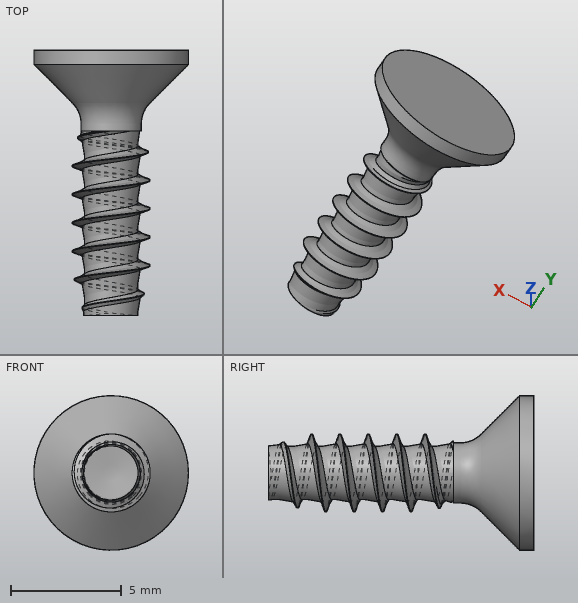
import cadquery as cq
import math

LENGTH = 12.0
HEAD_RADIUS = 7.0 / 2
RIM_HEIGHT = 0.65
NECK_RADIUS = 1.37
NECK_FILLET = 1.31
NECK_END = 3.65
RUNOUT_END = 4.14
CONE_END_RADIUS = NECK_RADIUS + NECK_FILLET * (1 - math.cos(math.pi / 4))
CONE_END = RIM_HEIGHT + HEAD_RADIUS - CONE_END_RADIUS
FILLET_END = CONE_END + NECK_FILLET * math.sin(math.pi / 4)

DISH_RADIUS = 1.15
DISH_DEPTH = 0.12

PITCH = 1.28
CORE_RADIUS = 1.21
CREST_RADIUS = 1.76
FOOT_RADIUS = 1.32
SHOULDER_RADIUS = 1.48
END_FOOT_RADIUS = 1.218
END_CREST_RADIUS = 1.22

CREST_HALF_WIDTH = 0.018
SHOULDER_RISE = 0.11
END_SHOULDER_RISE = 0.05
ROOT_RISE = 0.26
END_ROOT_RISE = 0.11
FOOT_DROP = 0.17
RAMP_DROP = 0.79

FADE_IN_START = 3.31
FADE_IN_END = 4.92
FADE_OUT_START = 10.03
FADE_OUT_END = 12.0

FIRST_CREST = FADE_IN_START - PITCH
TURNS = math.ceil((LENGTH - FIRST_CREST) / PITCH) + 1
POINTS_PER_TURN = 24


def blend(start, end, fraction):
    return start + (end - start) * min(1.0, max(0.0, fraction))


def make_head():
    fillet_middle = (
        NECK_RADIUS + NECK_FILLET * (1 - math.cos(math.pi / 8)),
        -(FILLET_END - NECK_FILLET * math.sin(math.pi / 8)),
    )
    return (
        cq.Workplane("XY")
        .lineTo(HEAD_RADIUS, 0)
        .lineTo(HEAD_RADIUS, -RIM_HEIGHT)
        .lineTo(CONE_END_RADIUS, -CONE_END)
        .threePointArc(fillet_middle, (NECK_RADIUS, -FILLET_END))
        .lineTo(NECK_RADIUS, -NECK_END)
        .lineTo(0, -NECK_END)
        .close()
        .revolve(360, (0, 0), (0, 1))
    )


def root_radius(depth):
    return blend(NECK_RADIUS, CORE_RADIUS, (depth - NECK_END) / (RUNOUT_END - NECK_END))


def fade_out(crest_depth):
    return (FADE_OUT_END - crest_depth) / (FADE_OUT_END - FADE_OUT_START)


def upper_root(crest_depth):
    """(radius, depth) where the head-side flank meets the root."""
    depth = crest_depth - blend(END_ROOT_RISE, ROOT_RISE, fade_out(crest_depth))
    return root_radius(depth), depth


def thread_section(crest_depth):
    """(radius, depth) corners over one pitch, from one upper root to the next."""
    remaining = fade_out(crest_depth)
    grown = (crest_depth - FADE_IN_START) / (FADE_IN_END - FADE_IN_START)
    foot = blend(END_FOOT_RADIUS, FOOT_RADIUS, 2 * remaining)
    crest = min(
        blend(NECK_RADIUS, CREST_RADIUS, grown),
        blend(END_CREST_RADIUS, CREST_RADIUS, remaining),
    )
    size = (crest - foot) / (CREST_RADIUS - FOOT_RADIUS)
    shoulder = blend(foot, SHOULDER_RADIUS, size)
    shoulder_rise = blend(END_SHOULDER_RISE, SHOULDER_RISE, size)
    ramp_end = crest_depth + RAMP_DROP
    return [
        upper_root(crest_depth),
        (shoulder, crest_depth - shoulder_rise),
        (crest, crest_depth - CREST_HALF_WIDTH),
        (crest, crest_depth + CREST_HALF_WIDTH),
        (foot, crest_depth + FOOT_DROP),
        (root_radius(ramp_end), ramp_end),
        upper_root(crest_depth + PITCH),
    ]


def turn_edges(turn):
    """One helical edge per section corner, over one turn from +X towards +Z."""
    parameters = [step / POINTS_PER_TURN for step in range(POINTS_PER_TURN + 1)]
    sections = []
    for fraction in parameters:
        angle = 2 * math.pi * fraction
        crest_depth = FIRST_CREST + PITCH * (turn + fraction)
        sections.append([
            cq.Vector(radius * math.cos(angle), -depth, radius * math.sin(angle))
            for radius, depth in thread_section(crest_depth)
        ])
    return [cq.Edge.makeSpline(list(path), parameters=parameters) for path in zip(*sections)]


def axis_point(point):
    return cq.Vector(0, point.y, 0)


def end_faces(helix, section):
    """Helicoid and flat step that close one end of the shank down to its axis."""
    first, last = helix.startPoint(), helix.endPoint()
    axis_edge = cq.Edge.makeLine(axis_point(first), axis_point(last))
    corners = section + [axis_point(section[-1]), axis_point(section[0])]
    step = cq.Face.makeFromWires(cq.Wire.makePolygon(corners, close=True))
    return [cq.Face.makeRuledSurface(helix, axis_edge), step]


def make_threaded_shank():
    turns = [turn_edges(turn) for turn in range(TURNS)]
    faces = []
    for edges in turns:
        faces += [cq.Face.makeRuledSurface(upper, lower) for upper, lower in zip(edges, edges[1:])]
    faces += end_faces(turns[0][0], [edge.startPoint() for edge in turns[0]])
    faces += end_faces(turns[-1][-1], [edge.endPoint() for edge in turns[-1]])
    shank = cq.Solid.makeSolid(cq.Shell.makeShell(faces)).fix()
    trim = (
        cq.Workplane("XZ", origin=(0, -NECK_END, 0))
        .circle(HEAD_RADIUS)
        .extrude(LENGTH - NECK_END)
    )
    return trim.intersect(cq.Workplane(shank))


def make_tip_dish():
    """Shallow cone hollowed into the tip."""
    return (
        cq.Workplane("XY")
        .moveTo(0, -LENGTH)
        .lineTo(DISH_RADIUS, -LENGTH)
        .lineTo(0, -LENGTH + DISH_DEPTH)
        .close()
        .revolve(360, (0, 0), (0, 1))
    )


screw = make_head().union(make_threaded_shank()).cut(make_tip_dish())
result = cq.Workplane(screw.solids().val())